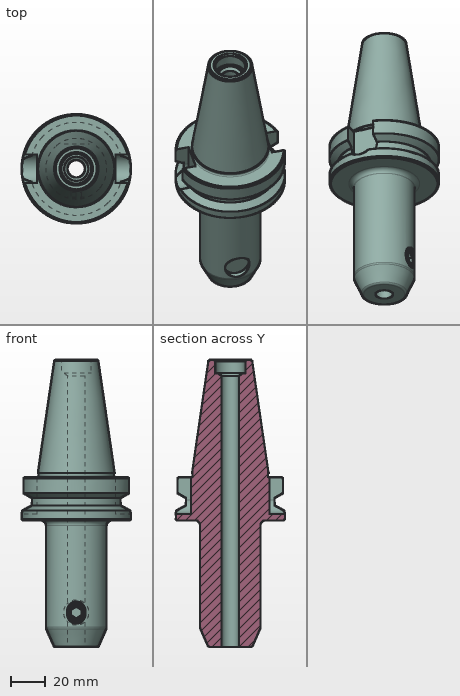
import cadquery as cq
import math

TOTAL_HEIGHT = 165.4

NOSE_RADIUS = 12.7
NOSE_FILLET = 1.5
SHANK_RADIUS = 17.5
SHANK_BOTTOM = 10.9
SHANK_BLEND_RADIUS = 2.5
SELECTION_MARGIN = 0.2

FLANGE_DIAMETER = 63.0
FLANGE_RADIUS = FLANGE_DIAMETER / 2
FLANGE_BOTTOM = 72.8
FLANGE_TOP = 97.8
FLANGE_CHAMFER = 0.8
FLANGE_FILLET = 2.8
GROOVE_RADIUS = 26.8
GROOVE_LOWER_EDGE = 78.5
GROOVE_FLOOR_BOTTOM = 81.4
GROOVE_FLOOR_TOP = 85.7
GROOVE_UPPER_EDGE = GROOVE_FLOOR_TOP + GROOVE_FLOOR_BOTTOM - GROOVE_LOWER_EDGE

TAPER_BOTTOM = 100.0
TAPER_BASE_RADIUS = 22.2
TAPER_TOP_RADIUS = TAPER_BASE_RADIUS - (TOTAL_HEIGHT - TAPER_BOTTOM) * 7 / 48
TAPER_CHAMFER = 0.8
NECK_RADIUS = 21.8
NECK_FILLET = 0.7

BORE_RADIUS = 5.0
THREAD_RADIUS = 7.0
COUNTERBORE_RADIUS = 8.6
COUNTERBORE_DEPTH = 7.8
BORE_DEPTH = 9.5
MOUTH_CHAMFER = 1.0

SLOT_WIDTH = 16.2
SLOT_FLOOR = 22.7
SLOT_BOTTOM = 76.5

SCREW_HEIGHT = 19.8
COUNTERSINK_RADIUS = 6.3
SCREW_RADIUS = 5.1
COUNTERSINK_DEPTH = COUNTERSINK_RADIUS - SCREW_RADIUS
SCREW_FACE_RADIUS = 4.0
SCREW_TIP_HEIGHT = 0.7
SOCKET_WIDTH = 6.0
SOCKET_DEPTH = 3.3
SOCKET_CHAMFER = 0.5
POCKET_RADIUS = 7.3
POCKET_DEPTH = 3.3


def make_body():
    """Revolve the outer outline about the Z axis."""
    outline = (
        cq.Workplane("XZ")
        .lineTo(NOSE_RADIUS, 0)
        .lineTo(SHANK_RADIUS, SHANK_BOTTOM)
        .lineTo(SHANK_RADIUS, FLANGE_BOTTOM - FLANGE_FILLET)
        .radiusArc((SHANK_RADIUS + FLANGE_FILLET, FLANGE_BOTTOM), FLANGE_FILLET)
        .lineTo(FLANGE_RADIUS - FLANGE_CHAMFER, FLANGE_BOTTOM)
        .lineTo(FLANGE_RADIUS, FLANGE_BOTTOM + FLANGE_CHAMFER)
        .lineTo(FLANGE_RADIUS, GROOVE_LOWER_EDGE)
        .lineTo(GROOVE_RADIUS, GROOVE_FLOOR_BOTTOM)
        .lineTo(GROOVE_RADIUS, GROOVE_FLOOR_TOP)
        .lineTo(FLANGE_RADIUS, GROOVE_UPPER_EDGE)
        .lineTo(FLANGE_RADIUS, FLANGE_TOP - FLANGE_CHAMFER)
        .lineTo(FLANGE_RADIUS - FLANGE_CHAMFER, FLANGE_TOP)
        .lineTo(NECK_RADIUS + NECK_FILLET, FLANGE_TOP)
        .radiusArc((NECK_RADIUS, FLANGE_TOP + NECK_FILLET), NECK_FILLET)
        .lineTo(NECK_RADIUS, TAPER_BOTTOM)
        .lineTo(TAPER_BASE_RADIUS, TAPER_BOTTOM)
        .lineTo(TAPER_TOP_RADIUS, TOTAL_HEIGHT)
        .lineTo(0, TOTAL_HEIGHT)
        .close()
    )
    body = outline.revolve(360, (0, 0, 0), (0, 1, 0))
    body = body.faces("<Z").edges().fillet(NOSE_FILLET)
    shank_corner = cq.selectors.BoxSelector(
        (-FLANGE_RADIUS, -FLANGE_RADIUS, SHANK_BOTTOM - SELECTION_MARGIN),
        (FLANGE_RADIUS, FLANGE_RADIUS, SHANK_BOTTOM + SELECTION_MARGIN),
        boundingbox=True,
    )
    body = body.edges(shank_corner).fillet(SHANK_BLEND_RADIUS)
    return body.faces(">Z").edges().chamfer(TAPER_CHAMFER)


def make_bore():
    """Through bore, widening through a cone and a flat ledge to a chamfered counterbore at the top."""
    return (
        cq.Workplane("XZ")
        .lineTo(BORE_RADIUS, 0)
        .lineTo(BORE_RADIUS, TOTAL_HEIGHT - BORE_DEPTH)
        .lineTo(THREAD_RADIUS, TOTAL_HEIGHT - COUNTERBORE_DEPTH)
        .lineTo(COUNTERBORE_RADIUS, TOTAL_HEIGHT - COUNTERBORE_DEPTH)
        .lineTo(COUNTERBORE_RADIUS, TOTAL_HEIGHT - MOUTH_CHAMFER)
        .lineTo(COUNTERBORE_RADIUS + MOUTH_CHAMFER, TOTAL_HEIGHT)
        .lineTo(0, TOTAL_HEIGHT)
        .close()
        .revolve(360, (0, 0, 0), (0, 1, 0))
    )


def make_drive_slot(side):
    """Round-bottomed slot, open at the flange top; side is -1 or +1 along X."""
    half_width = SLOT_WIDTH / 2
    arc_center = SLOT_BOTTOM + half_width
    return (
        cq.Workplane("YZ", origin=(side * SLOT_FLOOR, 0, 0))
        .moveTo(-half_width, TAPER_BOTTOM)
        .lineTo(-half_width, arc_center)
        .threePointArc((0, SLOT_BOTTOM), (half_width, arc_center))
        .lineTo(half_width, TAPER_BOTTOM)
        .close()
        .extrude(side * FLANGE_RADIUS)
    )


def make_screw_cone(outer_radius, inner_radius, depth, length):
    """Cone on the screw axis, starting at a depth below the shank and running inward."""
    start = cq.Vector(0, depth - SHANK_RADIUS, SCREW_HEIGHT)
    inward = cq.Vector(0, 1, 0)
    return cq.Workplane(cq.Solid.makeCone(outer_radius, inner_radius, length, start, inward))


def make_screw_recess():
    """45 degree countersink around a tapered screw end with a chamfered hex socket."""
    face_depth = COUNTERSINK_DEPTH - SCREW_TIP_HEIGHT
    corner_radius = SOCKET_WIDTH / math.sqrt(3)
    countersink = make_screw_cone(COUNTERSINK_RADIUS, SCREW_RADIUS, 0, COUNTERSINK_DEPTH)
    screw_tip = make_screw_cone(SCREW_FACE_RADIUS, SCREW_RADIUS, face_depth, SCREW_TIP_HEIGHT)
    socket_chamfer = make_screw_cone(
        corner_radius + SOCKET_CHAMFER / 2,
        corner_radius - SOCKET_CHAMFER / 2,
        face_depth,
        SOCKET_CHAMFER,
    )
    socket = (
        cq.Workplane("XZ", origin=(0, face_depth - SHANK_RADIUS, SCREW_HEIGHT))
        .transformed(rotate=(0, 0, 90))
        .polygon(6, 2 * corner_radius)
        .extrude(-SOCKET_DEPTH)
    )
    return countersink.cut(screw_tip).union(socket).union(socket_chamfer)


def make_relief_pocket():
    """Shallow round pocket in the shank, opposite the screw."""
    return (
        cq.Workplane("XZ", origin=(0, SHANK_RADIUS, SCREW_HEIGHT))
        .circle(POCKET_RADIUS)
        .extrude(POCKET_DEPTH)
    )


result = make_body().cut(make_bore())
for slot_side in (-1, 1):
    result = result.cut(make_drive_slot(slot_side))
result = result.cut(make_screw_recess()).cut(make_relief_pocket())